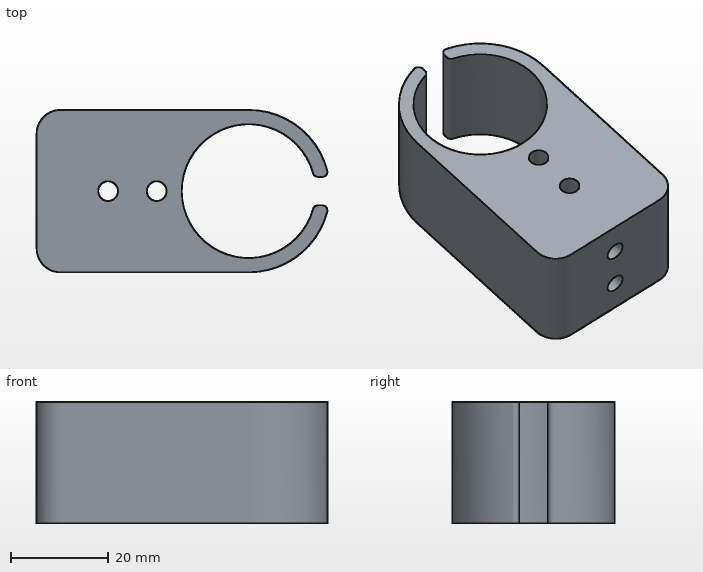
import cadquery as cq

height = 25.0
width = 33.5
outer_radius = width / 2
wall = 3.0
bore_radius = outer_radius - wall
ring_x = 43.7
corner_radius = 5.0

gap_width = 5.8
tip_radius = 1.1

hole_diameter = 4.0
hole_spacing = 10.0
first_hole_x = 14.75
end_hole_depth = 12.0


def make_body():
    """Block with two rounded corners that merges into a round end."""
    block = (
        cq.Workplane("XY")
        .box(ring_x, 2 * outer_radius, height, centered=(False, True, False))
        .edges("|Z and <X")
        .fillet(corner_radius)
    )
    round_end = cq.Workplane("XY").center(ring_x, 0).circle(outer_radius).extrude(height)
    return block.union(round_end)


def open_clip(body):
    """Bore the ring, slit it on the +X side and round the tips."""
    bore = cq.Workplane("XY").center(ring_x, 0).circle(bore_radius).extrude(height)
    slit = (
        cq.Workplane("XY")
        .center(ring_x, 0)
        .box(2 * outer_radius, gap_width, height, centered=(False, True, False))
    )
    clip = body.cut(bore).cut(slit)
    tip_zone = cq.selectors.BoxSelector(
        (ring_x + bore_radius / 2, -gap_width, -0.6),
        (ring_x + 2 * outer_radius, gap_width, height + 0.6),
    )
    return clip.edges("|Z").edges(tip_zone).fillet(tip_radius)


def vertical_holes():
    """Two holes through the full height, in line along X."""
    centers = [(first_hole_x + i * hole_spacing, 0) for i in range(2)]
    return cq.Workplane("XY").pushPoints(centers).circle(hole_diameter / 2).extrude(height)


def end_holes():
    """Two blind holes in the flat end, one above the other."""
    centers = [(0, height / 2 + side * hole_spacing / 2) for side in (-1, 1)]
    return cq.Workplane("YZ").pushPoints(centers).circle(hole_diameter / 2).extrude(end_hole_depth)


result = open_clip(make_body()).cut(vertical_holes()).cut(end_holes())